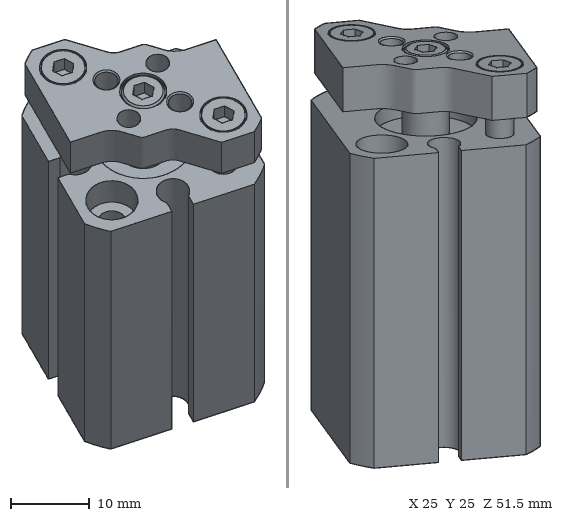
import cadquery as cq
import math

TOTAL_HEIGHT = 51.5
HOUSING_WIDTH = 25.0
HOUSING_HEIGHT = 42.0
HOUSING_CORNER_RADIUS = 15.95
PLATE_WIDTH = 23.9
PLATE_THICKNESS = 5.95
PLATE_CORNER_RADIUS = 15.7

CORNER_OFFSET = 7.7
MOUNT_HOLE_RADIUS = 1.8
COUNTERBORE_RADIUS = 3.3
COUNTERBORE_DEPTH = 4.1

SLOT_OFFSET = 9.4
SLOT_RADIUS = 2.1
SLOT_MOUTH = 3.0
SLOT_ANGLES = (0, 180, 270)

ROD_RECESS_RADIUS = 6.5
ROD_RECESS_DEPTH = 2.1

COUNTERBORE_RELIEF = 3.5
SLOT_RELIEF = 2.2
WAIST_ROUND = 1.05

PISTON_ROD_RADIUS = 3.0
GUIDE_ROD_RADIUS = 1.8

RING_OUTER_RADIUS = 3.0
SCREW_HEAD_RADIUS = 2.8
RING_DEPTH = 0.4
HEAD_CHAMFER = 0.25
HEX_FLATS = 2.5
HEX_DEPTH = 2.05

PLATE_HOLE_OFFSET = 3.55
PLATE_HOLE_RADIUS = 1.5
PLATE_HOLE_CHAMFER = 0.2

PLATE_BOTTOM = TOTAL_HEIGHT - PLATE_THICKNESS
RECESS_FLOOR = HOUSING_HEIGHT - ROD_RECESS_DEPTH


def diagonal_pair(offset, side):
    """Two opposite points of a square pattern: side 1 gives (-,-) and (+,+), side -1 the other two."""
    return [(-offset, -side * offset), (offset, side * offset)]


GUIDE_ROD_POINTS = diagonal_pair(CORNER_OFFSET, 1)
SCREW_POINTS = [(0, 0)] + GUIDE_ROD_POINTS
MOUNT_HOLE_POINTS = diagonal_pair(CORNER_OFFSET, -1)
PLAIN_HOLE_POINTS = diagonal_pair(PLATE_HOLE_OFFSET, -1)
CHAMFERED_HOLE_POINTS = diagonal_pair(PLATE_HOLE_OFFSET, 1)


def cylinders(points, radius, bottom, top):
    """Upright cylinders at the given points, between two heights."""
    return cq.Workplane("XY", origin=(0, 0, bottom)).pushPoints(points).circle(radius).extrude(top - bottom)




def sensor_slot(angle):
    """Full-height slot that opens on +X, turned by angle about Z."""
    channel = cylinders([(SLOT_OFFSET, 0)], SLOT_RADIUS, 0, HOUSING_HEIGHT)
    mouth = cq.Workplane("XY").box(
        HOUSING_WIDTH / 2, SLOT_MOUTH, HOUSING_HEIGHT, centered=(False, True, False)
    )
    slot = channel.union(mouth.translate((SLOT_OFFSET, 0, 0)))
    return slot.rotate((0, 0, 0), (0, 0, 1), angle)


def make_housing():
    body = cq.Workplane("XY").rect(HOUSING_WIDTH, HOUSING_WIDTH).extrude(HOUSING_HEIGHT)
    body = body.intersect(cylinders([(0, 0)], HOUSING_CORNER_RADIUS, 0, HOUSING_HEIGHT))
    for angle in SLOT_ANGLES:
        body = body.cut(sensor_slot(angle))
    body = body.cut(cylinders([(0, 0)], ROD_RECESS_RADIUS, RECESS_FLOOR, HOUSING_HEIGHT))
    body = body.cut(cylinders(MOUNT_HOLE_POINTS, MOUNT_HOLE_RADIUS, 0, HOUSING_HEIGHT))
    counterbore_floor = HOUSING_HEIGHT - COUNTERBORE_DEPTH
    return body.cut(cylinders(MOUNT_HOLE_POINTS, COUNTERBORE_RADIUS, counterbore_floor, HOUSING_HEIGHT))




def on_arc(center, radius, degrees):
    angle = math.radians(degrees)
    return (center[0] + radius * math.cos(angle), center[1] + radius * math.sin(angle))


def plate_blank():
    """Plate outline, the same after half a turn; its slanted edges run at 45 degrees."""
    half = PLATE_WIDTH / 2
    counterbore = (-CORNER_OFFSET, CORNER_OFFSET)
    slot = (-SLOT_OFFSET, 0)

    relief_end = on_arc(counterbore, COUNTERBORE_RELIEF, -45)
    slot_arc_end = on_arc(slot, SLOT_RELIEF, -45)

    round_x = slot[0] + SLOT_RELIEF + WAIST_ROUND
    round_y = relief_end[1] - relief_end[0] + round_x - WAIST_ROUND * math.sqrt(2)
    waist_round = (round_x, round_y)

    side_top = (-half, slot_arc_end[1] - slot_arc_end[0] - half)

    def draw_half(outline, turn):
        """From the +Y edge down the -X side to the -Y edge; turn -1 gives the opposite half."""

        def place(point):
            return (turn * point[0], turn * point[1])

        return (
            outline.lineTo(*place((counterbore[0] + COUNTERBORE_RELIEF, half)))
            .lineTo(*place(on_arc(counterbore, COUNTERBORE_RELIEF, 0)))
            .threePointArc(place(on_arc(counterbore, COUNTERBORE_RELIEF, -22.5)), place(relief_end))
            .lineTo(*place(on_arc(waist_round, WAIST_ROUND, 135)))
            .threePointArc(
                place(on_arc(waist_round, WAIST_ROUND, 157.5)),
                place(on_arc(waist_round, WAIST_ROUND, 180)),
            )
            .lineTo(*place(on_arc(slot, SLOT_RELIEF, 0)))
            .threePointArc(place(on_arc(slot, SLOT_RELIEF, -22.5)), place(slot_arc_end))
            .lineTo(*place(side_top))
            .lineTo(*place((-half, -half)))
        )

    outline = cq.Workplane("XY", origin=(0, 0, PLATE_BOTTOM)).moveTo(half, half)
    outline = draw_half(outline, 1)
    outline = draw_half(outline, -1)
    blank = outline.close().extrude(PLATE_THICKNESS)
    return blank.intersect(cylinders([(0, 0)], PLATE_CORNER_RADIUS, PLATE_BOTTOM, TOTAL_HEIGHT))


def screw_cutter():
    """Ring groove around each screw head and the hex socket inside it."""
    top = cq.Workplane("XY", origin=(0, 0, TOTAL_HEIGHT)).pushPoints(SCREW_POINTS)
    rings = top.circle(RING_OUTER_RADIUS).circle(SCREW_HEAD_RADIUS).extrude(-RING_DEPTH)
    corner_radius = HEX_FLATS / 2 / math.cos(math.radians(30))
    hexagon = cq.Sketch().regularPolygon(corner_radius, 6)
    return rings.union(top.placeSketch(hexagon).extrude(-HEX_DEPTH))


def chamfer_cone(point, bottom_radius, top_radius):
    """45 degree cone that ends at the plate top."""
    height = abs(top_radius - bottom_radius)
    base = cq.Vector(*point, TOTAL_HEIGHT - height)
    return cq.Workplane(cq.Solid.makeCone(bottom_radius, top_radius, height, pnt=base))


def head_chamfer_cutter():
    """Removes the sharp rim of the centre screw head."""
    chamfer_bottom = TOTAL_HEIGHT - HEAD_CHAMFER
    rim = cylinders([(0, 0)], SCREW_HEAD_RADIUS, chamfer_bottom, TOTAL_HEIGHT)
    return rim.cut(chamfer_cone((0, 0), SCREW_HEAD_RADIUS, SCREW_HEAD_RADIUS - HEAD_CHAMFER))


def make_carriage():
    body = plate_blank()
    hole_points = PLAIN_HOLE_POINTS + CHAMFERED_HOLE_POINTS
    body = body.cut(cylinders(hole_points, PLATE_HOLE_RADIUS, PLATE_BOTTOM, TOTAL_HEIGHT))
    for point in CHAMFERED_HOLE_POINTS:
        mouth_radius = PLATE_HOLE_RADIUS + PLATE_HOLE_CHAMFER
        body = body.cut(chamfer_cone(point, PLATE_HOLE_RADIUS, mouth_radius))
    body = body.cut(screw_cutter())
    body = body.cut(head_chamfer_cutter())
    body = body.union(cylinders([(0, 0)], PISTON_ROD_RADIUS, RECESS_FLOOR, PLATE_BOTTOM))
    return body.union(cylinders(GUIDE_ROD_POINTS, GUIDE_ROD_RADIUS, HOUSING_HEIGHT, PLATE_BOTTOM))


housing = make_housing()
carriage = make_carriage()
result = cq.Compound.makeCompound([housing.val(), carriage.val()])